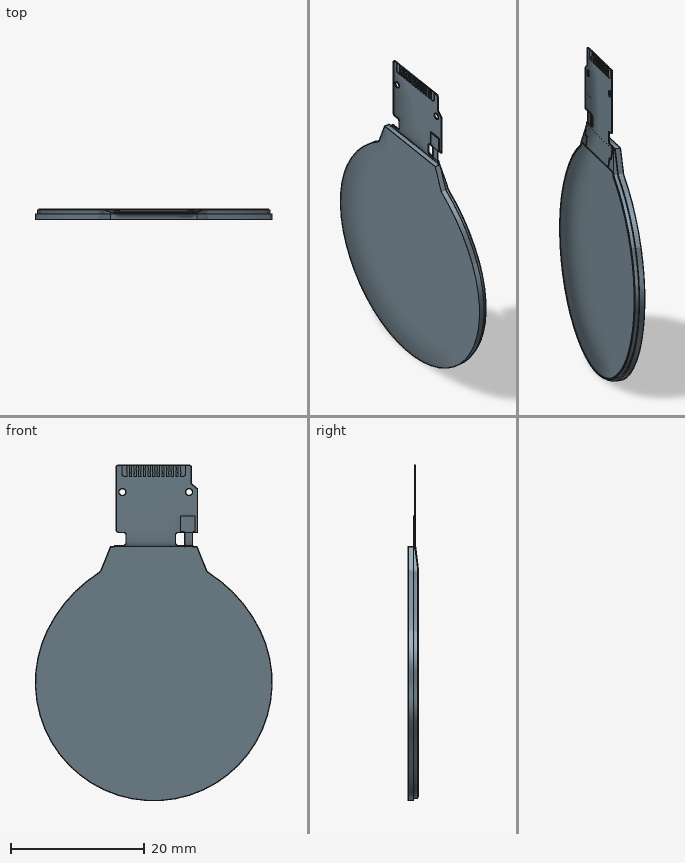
import cadquery as cq
import math


disc_diameter = 35.53
total_height = 50.34
total_depth = 1.55
disc_radius = disc_diameter / 2
cable_top = total_height - disc_radius

glass_depth = 0.85
film_thickness = 0.10
cable_thickness = 0.15
tail_thickness = 0.15
film_front = total_depth - film_thickness
cable_front = glass_depth + tail_thickness
cable_back = cable_front + cable_thickness

neck_top = 20.38
neck_half_width = 6.48
kink_x = 8.0
kink_radius = 0.8
shoulder_start = math.radians(25.9)
shoulder_extra = 3.6
backlight_inset = 0.3
film_inset = backlight_inset + 0.2

slope_top = 20.3
slope_bottom = 17.0

tab_half_width = 5.65
ear_right = 6.6
ear_slant_top = 29.8
ear_slant_bottom = 29.0
tab_bottom = 22.48
tab_top_radius = 0.3
tab_bottom_radius = 0.4
neck_left = -4.17
neck_right = 3.29
neck_radius = 0.35
foot_top = 20.56
foot_half_width = 5.9
foot_step = 18.5
foot_end_half_width = 5.15
hole_diameter = 1.0
hole_z = 28.55
hole_left = -4.7
hole_spacing = 10.0

finger_count = 12
finger_pitch = 0.7
finger_width = 0.35
finger_length = 1.67
window_width = 9.58
window_radius = 0.4
window_depth = 0.05
via_diameter = 0.5
via_upper_z = cable_top - 0.55
via_lower_z = cable_top - 1.12

pad_left = 4.02
pad_right = 6.18
pad_top = 24.95
pad_bottom = 22.62
strip_left = 4.62
strip_right = 5.83
strip_radius = 0.2
tail_bottom = neck_top - backlight_inset


def front_plane(y):
    """Sketch plane parallel to the screen at depth y; extrude by a negative length to go back."""
    return cq.Workplane("XZ", origin=(0, y, 0))


def round_corners(body, corners, radius):
    """Round the depthwise edges that stand at the given (x, z) corners."""
    reach = 0.02
    for x, z in corners:
        corner = cq.selectors.BoxSelector(
            (x - reach, -reach, z - reach), (x + reach, total_depth + reach, z + reach)
        )
        body = body.edges("|Y").edges(corner).fillet(radius)
    return body


def make_glass():
    """Disc with flattened shoulders and a tapering neck."""
    shoulder_radius = disc_radius + shoulder_extra
    shoulder_x = -shoulder_extra * math.cos(shoulder_start)
    shoulder_z = -shoulder_extra * math.sin(shoulder_start)
    kink_angle = math.acos((kink_x - shoulder_x) / shoulder_radius)

    def on_shoulder(angle):
        return (
            shoulder_x + shoulder_radius * math.cos(angle),
            shoulder_z + shoulder_radius * math.sin(angle),
        )

    start_x, start_z = on_shoulder(shoulder_start)
    middle_x, middle_z = on_shoulder((shoulder_start + kink_angle) / 2)
    _, kink_z = on_shoulder(kink_angle)
    body = (
        front_plane(0)
        .moveTo(-neck_half_width, neck_top)
        .lineTo(neck_half_width, neck_top)
        .lineTo(kink_x, kink_z)
        .threePointArc((middle_x, middle_z), (start_x, start_z))
        .threePointArc((0, -disc_radius), (-start_x, start_z))
        .threePointArc((-middle_x, middle_z), (-kink_x, kink_z))
        .close()
        .extrude(-glass_depth)
    )
    kinks = [(side * kink_x, kink_z) for side in (-1, 1)]
    return round_corners(body, kinks, kink_radius)


def inset_layer(glass, inset, front, back):
    """Layer between two depths that follows the glass outline, set in from its edge."""
    outline = glass.faces("<Y").wires().val().offset2D(-inset)[0]
    return front_plane(0).add(outline).toPending().extrude(-(back - front)).translate((0, front, 0))


def make_backlight(glass):
    """Layer behind the glass, thinned towards the top of the neck where the cable lies."""
    cut = (
        cq.Workplane("YZ")
        .polyline([
            (cable_front, slope_top),
            (film_front, slope_bottom),
            (total_depth, slope_bottom),
            (total_depth, neck_top),
            (cable_front, neck_top),
        ])
        .close()
        .extrude(disc_radius, both=True)
    )
    return inset_layer(glass, backlight_inset, glass_depth, film_front).cut(cut)


def make_film(glass):
    """Thin backing film that stops below the sloping part of the neck."""
    above_film = front_plane(0).rect(disc_diameter, 2 * (neck_top - slope_bottom)).extrude(-total_depth)
    return inset_layer(glass, film_inset, film_front, total_depth).cut(above_film.translate((0, 0, neck_top)))


def make_fingers():
    """Contact fingers, each with a round via, alternately high and low."""
    fingers = cq.Workplane("XZ")
    finger_z = cable_top - finger_length / 2
    for index in range(finger_count):
        x = (index - (finger_count - 1) / 2) * finger_pitch
        via_z = via_upper_z if index % 2 == 0 else via_lower_z
        finger = front_plane(cable_front).center(x, finger_z).rect(finger_width, finger_length)
        via = front_plane(cable_front).center(x, via_z).circle(via_diameter / 2)
        fingers = fingers.add(finger.extrude(-window_depth).union(via.extrude(-window_depth)))
    return fingers.combine()


def make_cable():
    """Flex cable: upright tab, narrow neck and a foot that leans back over the backlight."""
    face = (
        front_plane(0)
        .polyline([
            (-tab_half_width, cable_top),
            (tab_half_width, cable_top),
            (tab_half_width, ear_slant_top),
            (ear_right, ear_slant_bottom),
            (ear_right, tab_bottom),
            (neck_right, tab_bottom),
            (neck_right, foot_top),
            (foot_half_width, foot_top),
            (foot_half_width, foot_step),
            (foot_end_half_width, foot_step),
            (foot_end_half_width, slope_bottom),
            (-foot_end_half_width, slope_bottom),
            (-foot_end_half_width, foot_step),
            (-foot_half_width, foot_step),
            (-foot_half_width, foot_top),
            (neck_left, foot_top),
            (neck_left, tab_bottom),
            (-tab_half_width, tab_bottom),
        ])
        .close()
        .extrude(-total_depth)
    )
    neck_corners = [(x, z) for x in (neck_left, neck_right) for z in (foot_top, tab_bottom)]
    top_corners = [(side * tab_half_width, cable_top) for side in (-1, 1)]
    face = round_corners(face, neck_corners, neck_radius)
    face = round_corners(face, top_corners, tab_top_radius)
    face = round_corners(face, [(-tab_half_width, tab_bottom)], tab_bottom_radius)

    side_profile = (
        cq.Workplane("YZ")
        .polyline([
            (cable_front, cable_top),
            (cable_back, cable_top),
            (cable_back, slope_top),
            (total_depth, slope_bottom),
            (film_front, slope_bottom),
            (cable_front, slope_top),
        ])
        .close()
        .extrude(disc_radius, both=True)
    )
    cable = face.intersect(side_profile)

    holes = (
        front_plane(0)
        .pushPoints([(hole_left, hole_z), (hole_left + hole_spacing, hole_z)])
        .circle(hole_diameter / 2)
        .extrude(-total_depth)
    )
    window = (
        front_plane(cable_front)
        .center(0, cable_top - finger_length / 2)
        .rect(window_width, finger_length)
        .extrude(-window_depth)
        .edges("|Y and <Z")
        .fillet(window_radius)
    )
    return cable.cut(holes).cut(window.cut(make_fingers()))


def make_tail():
    """Backlight tail: a strip rising from the backlight to a solder pad on the cable."""
    tail = (
        front_plane(glass_depth)
        .polyline([
            (pad_left, pad_top),
            (pad_right, pad_top),
            (pad_right, pad_bottom),
            (strip_right, pad_bottom),
            (strip_right, tail_bottom),
            (strip_left, tail_bottom),
            (strip_left, pad_bottom),
            (pad_left, pad_bottom),
        ])
        .close()
        .extrude(-tail_thickness)
    )
    return round_corners(tail, [(x, pad_bottom) for x in (strip_left, strip_right)], strip_radius)


glass = make_glass()
backlight = make_backlight(glass)
film = make_film(glass)
cable = make_cable()
tail = make_tail()

result = cq.Compound.makeCompound([
    glass.val(),
    backlight.val(),
    film.val(),
    cable.val(),
    tail.val(),
])